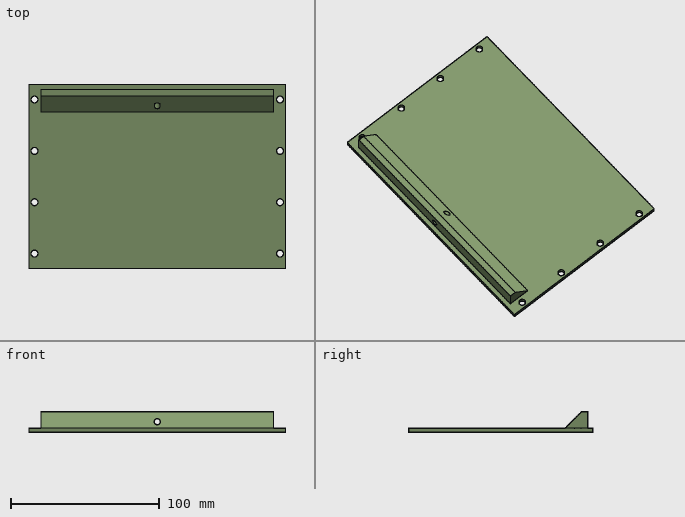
import cadquery as cq

plate_length = 172.6
plate_width = 123.8
plate_thickness = 3.0
overall_height = 14.0

rib_length = 156.5
rib_top_depth = 4.3
rib_back_inset = 3.3
rib_height = overall_height - plate_thickness
rib_depth = rib_top_depth + rib_height

mount_diameter = 4.5
mount_edge_inset = 3.8
mount_pitch = 34.5
mounts_per_side = 4

rib_hole_diameter = 4.0
rib_hole_height = 7.2


def make_plate():
    plate = cq.Workplane("XY").box(
        plate_length, plate_width, plate_thickness, centered=(True, True, False)
    )
    row_spacing = plate_length - 2 * mount_edge_inset
    return (
        plate.faces(">Z")
        .workplane()
        .rarray(row_spacing, mount_pitch, 2, mounts_per_side)
        .hole(mount_diameter)
    )


def make_rib():
    back_y = plate_width / 2 - rib_back_inset
    front_y = back_y - rib_depth
    profile = [
        (front_y, plate_thickness),
        (back_y, plate_thickness),
        (back_y, overall_height),
        (back_y - rib_top_depth, overall_height),
    ]
    rib = cq.Workplane("YZ").polyline(profile).close().extrude(rib_length / 2, both=True)
    bore = (
        cq.Workplane("XZ", origin=(0, back_y, rib_hole_height))
        .circle(rib_hole_diameter / 2)
        .extrude(rib_depth)
    )
    return rib.cut(bore)


result = make_plate().union(make_rib())